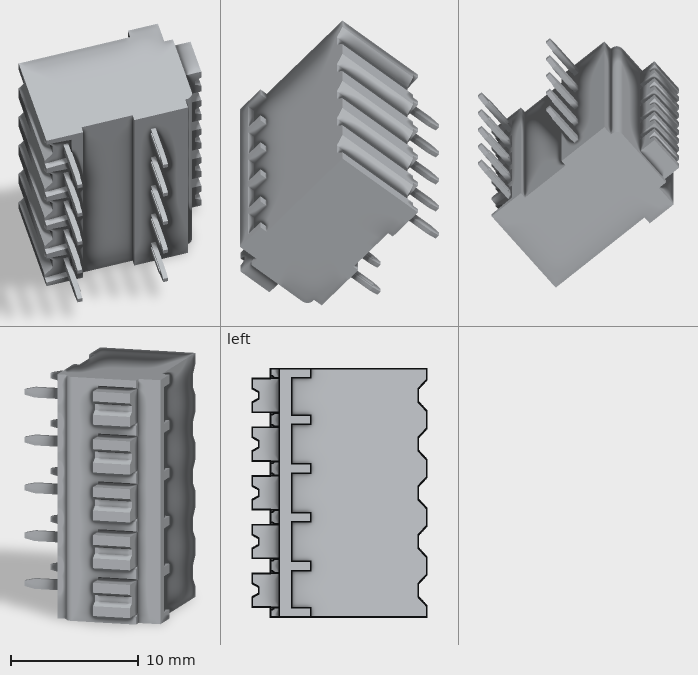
import cadquery as cq

HEIGHT = 19.44
POLES = 5
PITCH = 3.81
pole_heights = [HEIGHT / 2 + (i - (POLES - 1) / 2) * PITCH for i in range(POLES)]

WALL_X = 0.65
BASE_X = 8.42
BODY_DEPTH = 11.53
FLANGE_Y = 9.08
LUG_X = 1.79
LUG_END_X = 7.62
LUG_TOP = 12.23
LUG_RADIUS = 0.58
CHANNEL_Y = (3.0, 7.15)
FLOOR_X = 7.93

RIB_THICKNESS = 0.72
RECESS_TOP = 10.58

GROOVE_DEPTH = 0.66
GROOVE_MOUTH = 2.43
GROOVE_FLOOR = 1.01

POCKET_MOUTH = 3.23
POCKET_BACK = 2.92
POCKET_DEPTH = 2.05
POCKET_DRAFT = 0.04

BUTTON_X = (1.85, 4.86)
BUTTON_TOP = 13.65
BUTTON_HEIGHT = 2.65
NOTCH_MOUTH = 1.07
NOTCH_FLOOR = 0.5
NOTCH_DEPTH = 0.5
SLOT_HEIGHT = 2.76
SLOT_MOUTH = 3.03
MOUTH_DEPTH = 0.15
FLARE_END = 0.31
SLOT_END_X = 4.9

PIN_ROWS_Y = (1.71, 8.69)
PIN_TIP_X = 11.9
PIN_TAPER_X = 11.08
PIN_HEIGHT = 0.8
PIN_TIP_HEIGHT = 0.43
PIN_THICKNESS = 0.39
PIN_ROOT_DEPTH = 0.97
PAD_START_X = 8.61
PAD_HEIGHT = 0.47
PAD_CORNER = 0.15
PAD_THICKNESS = 0.08


def box(x_range, y_range, z_range):
    """Block spanning the given ranges."""
    size = [b - a for a, b in (x_range, y_range, z_range)]
    corner = (x_range[0], y_range[0], z_range[0])
    return cq.Workplane("XY").box(*size, centered=False).translate(corner)


def centred(middle, height):
    """Range of the given height around a middle."""
    return (middle - height / 2, middle + height / 2)


def prism_along_x(points, x_range):
    """Prism along X over an outline of (y, z) points."""
    length = x_range[1] - x_range[0]
    return cq.Workplane("YZ").workplane(offset=x_range[0]).polyline(points).close().extrude(length)


def make_housing():
    outline = (
        cq.Workplane("XY")
        .moveTo(WALL_X, 0)
        .lineTo(BASE_X, 0)
        .lineTo(BASE_X, CHANNEL_Y[0])
        .lineTo(FLOOR_X, CHANNEL_Y[0])
        .lineTo(FLOOR_X, CHANNEL_Y[1])
        .lineTo(BASE_X, CHANNEL_Y[1])
        .lineTo(BASE_X, BODY_DEPTH)
        .lineTo(LUG_END_X, BODY_DEPTH)
        .lineTo(LUG_END_X, LUG_TOP - LUG_RADIUS)
        .radiusArc((LUG_END_X - LUG_RADIUS, LUG_TOP), -LUG_RADIUS)
        .lineTo(LUG_X, LUG_TOP)
        .lineTo(LUG_X, BODY_DEPTH)
        .lineTo(0, BODY_DEPTH)
        .lineTo(0, FLANGE_Y)
        .lineTo(WALL_X, FLANGE_Y)
        .close()
    )
    return outline.extrude(HEIGHT)


def flange_recess(z):
    bottom, top = centred(z, PITCH - RIB_THICKNESS)
    bottom = max(bottom, RIB_THICKNESS)
    top = min(top, HEIGHT - RIB_THICKNESS)
    return box((0, WALL_X), (FLANGE_Y, RECESS_TOP), (bottom, top))


def groove(z):
    points = [
        (0, z - GROOVE_MOUTH / 2),
        (GROOVE_DEPTH, z - GROOVE_FLOOR / 2),
        (GROOVE_DEPTH, z + GROOVE_FLOOR / 2),
        (0, z + GROOVE_MOUTH / 2),
    ]
    return prism_along_x(points, (0, BASE_X))


def pin_pocket(z):
    """Pocket that narrows away from Y = 0, with a back wall leaning outwards."""
    deepest = POCKET_DEPTH + POCKET_DRAFT
    narrowing = [
        (0, z - POCKET_MOUTH / 2),
        (deepest, z - POCKET_BACK / 2),
        (deepest, z + POCKET_BACK / 2),
        (0, z + POCKET_MOUTH / 2),
    ]
    leaning_back = cq.Workplane("XY").polyline(
        [(FLOOR_X, 0), (BASE_X, 0), (BASE_X, deepest), (FLOOR_X, POCKET_DEPTH)]
    )
    return prism_along_x(narrowing, (FLOOR_X, BASE_X)).intersect(leaning_back.close().extrude(HEIGHT))


def button_slot(z):
    mouth_y = LUG_TOP - MOUTH_DEPTH
    flare_y = LUG_TOP - FLARE_END
    points = [
        (BODY_DEPTH, z - SLOT_HEIGHT / 2),
        (flare_y, z - SLOT_HEIGHT / 2),
        (mouth_y, z - SLOT_MOUTH / 2),
        (LUG_TOP, z - SLOT_MOUTH / 2),
        (LUG_TOP, z + SLOT_MOUTH / 2),
        (mouth_y, z + SLOT_MOUTH / 2),
        (flare_y, z + SLOT_HEIGHT / 2),
        (BODY_DEPTH, z + SLOT_HEIGHT / 2),
    ]
    return prism_along_x(points, (LUG_X, SLOT_END_X))


def button(z):
    notch_y = BUTTON_TOP - NOTCH_DEPTH
    notch = [
        (BUTTON_TOP, z - NOTCH_MOUTH / 2),
        (notch_y, z - NOTCH_FLOOR / 2),
        (notch_y, z + NOTCH_FLOOR / 2),
        (BUTTON_TOP, z + NOTCH_MOUTH / 2),
    ]
    block = box(BUTTON_X, (RECESS_TOP, BUTTON_TOP), centred(z, BUTTON_HEIGHT))
    return block.cut(prism_along_x(notch, BUTTON_X))


def pin(y, z):
    start_x = FLOOR_X - PIN_ROOT_DEPTH
    outline = [
        (start_x, z - PIN_HEIGHT / 2),
        (PIN_TAPER_X, z - PIN_HEIGHT / 2),
        (PIN_TIP_X, z - PIN_TIP_HEIGHT / 2),
        (PIN_TIP_X, z + PIN_TIP_HEIGHT / 2),
        (PIN_TAPER_X, z + PIN_HEIGHT / 2),
        (start_x, z + PIN_HEIGHT / 2),
    ]
    plate = cq.Workplane("XZ").polyline(outline).close().extrude(PIN_THICKNESS / 2, both=True)
    return plate.translate((0, y, 0))


def pin_pad(y_range, z):
    pad = box((PAD_START_X, PIN_TAPER_X), y_range, centred(z, PAD_HEIGHT))
    return pad.edges("|Y").fillet(PAD_CORNER)


result = make_housing()
for z in pole_heights:
    for cutter in (flange_recess(z), groove(z), pin_pocket(z), button_slot(z)):
        result = result.cut(cutter)
    result = result.union(button(z))

    front_pin_y, rear_pin_y = PIN_ROWS_Y
    front_pad_y = front_pin_y + PIN_THICKNESS / 2
    rear_pad_y = rear_pin_y - PIN_THICKNESS / 2
    result = result.union(pin(front_pin_y, z)).union(pin(rear_pin_y, z))
    result = result.union(pin_pad((front_pad_y, front_pad_y + PAD_THICKNESS), z))
    result = result.union(pin_pad((rear_pad_y - PAD_THICKNESS, rear_pad_y), z))